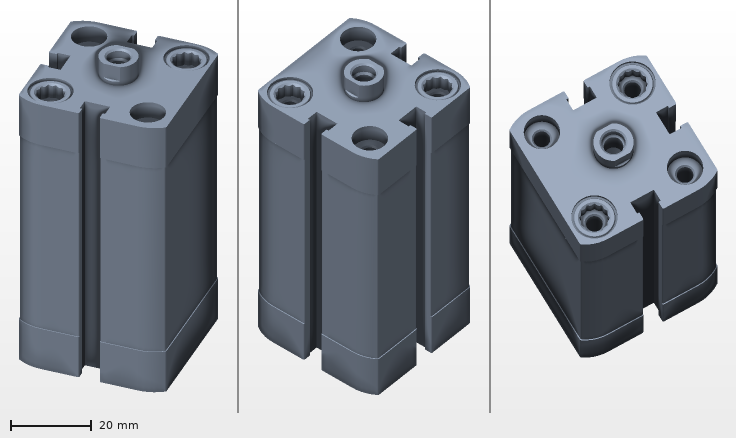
import cadquery as cq
import math

WIDTH = 39.5
TOTAL_HEIGHT = 84.5
HOUSING_HEIGHT = 79.0
CAP_HEIGHT = 12.0
BARREL_INSET = 0.25

CORNER_RADIUS = 11.5
CORNER_BLEND = 0.6

HOLE_OFFSET = 13.0
HOLE_DIAMETER = 4.1
HOLE_CHAMFER = 0.4
COUNTERBORE_DIAMETER = 9.0
COUNTERBORE_DEPTH = 4.6

SLOT_DEPTH = 5.6
SLOT_WIDTH = 6.8
MOUTH_WIDTH = 5.5
LIP_DEPTH = 2.2
MOUTH_BLEND = 0.3

GROOVE_DIAMETER = 11.5
GROOVE_DEPTH = 0.85
COLLAR_BASE_DIAMETER = 10.5
COLLAR_TOP_DIAMETER = 10.0
COLLAR_DROP = 0.4
SOCKET_MOUTH_DIAMETER = 8.2
SOCKET_BORE_DIAMETER = 6.9
SOCKET_MOUTH_DEPTH = 0.9
SOCKET_FLATS = 6.6
SOCKET_DEPTH = 4.5

ROD_DIAMETER = 10.0
ROD_FLATS = 8.95
FLAT_HEIGHT = 4.1
FLAT_RUNOUT = 0.25
ROD_MOUTH_DIAMETER = 6.9
ROD_BORE_DIAMETER = 6.0
ROD_BORE_DEPTH = 2.5
ROD_BORE_TAPER = 0.5
ROD_DRILL_DIAMETER = 4.9
ROD_DRILL_DEPTH = 10.1
DRILL_TIP_ANGLE = 118

ROD_BASE = HOUSING_HEIGHT - CAP_HEIGHT
ROD_LENGTH = TOTAL_HEIGHT - ROD_BASE


def cone(base_diameter, top_diameter, base_height, height):
    """A cone frustum on the Z axis; a base diameter of zero gives a point."""
    return cq.Workplane(
        cq.Solid.makeCone(base_diameter / 2, top_diameter / 2, height, cq.Vector(0, 0, base_height))
    )


def disc(diameter, base_height, height):
    """A cylinder on the Z axis."""
    return cq.Workplane("XY", origin=(0, 0, base_height)).circle(diameter / 2).extrude(height)


def outline_block(inset, base_height, height):
    """A square block whose front and back faces run into the sides over large arcs."""
    half = WIDTH / 2 - inset
    radius = CORNER_RADIUS - inset
    center_y = half - radius

    def on_arc(x):
        return center_y + math.sqrt(radius**2 - (x - HOLE_OFFSET) ** 2)

    side_y = on_arc(half)
    middle_x = (HOLE_OFFSET + half) / 2
    middle_y = on_arc(middle_x)
    block = (
        cq.Workplane("XY", origin=(0, 0, base_height))
        .moveTo(-HOLE_OFFSET, -half)
        .lineTo(HOLE_OFFSET, -half)
        .threePointArc((middle_x, -middle_y), (half, -side_y))
        .lineTo(half, side_y)
        .threePointArc((middle_x, middle_y), (HOLE_OFFSET, half))
        .lineTo(-HOLE_OFFSET, half)
        .threePointArc((-middle_x, middle_y), (-half, side_y))
        .lineTo(-half, -side_y)
        .threePointArc((-middle_x, -middle_y), (-HOLE_OFFSET, -half))
        .close()
        .extrude(height)
    )
    return block.edges("|Z and (<X or >X)").fillet(CORNER_BLEND)


def slot_cutter(inset, base_height, height):
    """An undercut slot in the +X face, with rounded mouth edges."""
    face = WIDTH / 2 - inset
    lip = WIDTH / 2 - LIP_DEPTH
    floor = WIDTH / 2 - SLOT_DEPTH
    mouth = MOUTH_WIDTH / 2
    blend_reach = MOUTH_BLEND * (1 - math.sqrt(0.5))
    return (
        cq.Workplane("XY", origin=(0, 0, base_height))
        .moveTo(floor, -SLOT_WIDTH / 2)
        .lineTo(lip, -SLOT_WIDTH / 2)
        .lineTo(lip, -mouth)
        .lineTo(face - MOUTH_BLEND, -mouth)
        .threePointArc((face - blend_reach, -mouth - blend_reach), (face, -mouth - MOUTH_BLEND))
        .lineTo(face, mouth + MOUTH_BLEND)
        .threePointArc((face - blend_reach, mouth + blend_reach), (face - MOUTH_BLEND, mouth))
        .lineTo(lip, mouth)
        .lineTo(lip, SLOT_WIDTH / 2)
        .lineTo(floor, SLOT_WIDTH / 2)
        .close()
        .extrude(height)
    )


def housing_section(inset, base_height, height):
    """One length of the housing, slotted on the front, back and left faces."""
    section = outline_block(inset, base_height, height)
    slot = slot_cutter(inset, base_height, height)
    for angle in (90, 180, 270):
        section = section.cut(slot.rotate((0, 0, 0), (0, 0, 1), angle))
    return section


def through_hole_cutter(floor_depth):
    """A hole along the whole housing, chamfered where it meets a floor below the top face."""
    floor = HOUSING_HEIGHT - floor_depth
    chamfer = cone(HOLE_DIAMETER, HOLE_DIAMETER + 2 * HOLE_CHAMFER, floor - HOLE_CHAMFER, HOLE_CHAMFER)
    return disc(HOLE_DIAMETER, 0, floor).union(chamfer)


def counterbore_cutter():
    """A counterbored through hole."""
    bore = disc(COUNTERBORE_DIAMETER, HOUSING_HEIGHT - COUNTERBORE_DEPTH, COUNTERBORE_DEPTH)
    return bore.union(through_hole_cutter(COUNTERBORE_DEPTH))


def socket_cutter():
    """A twelve-point socket inside a collar with a groove around it, above a through hole."""
    groove_floor = HOUSING_HEIGHT - GROOVE_DEPTH
    collar = cone(COLLAR_BASE_DIAMETER, COLLAR_TOP_DIAMETER, groove_floor, GROOVE_DEPTH - COLLAR_DROP)
    cutter = disc(GROOVE_DIAMETER, groove_floor, GROOVE_DEPTH).cut(collar)

    bore_top = HOUSING_HEIGHT - SOCKET_MOUTH_DEPTH
    mouth = cone(
        SOCKET_BORE_DIAMETER, SOCKET_MOUTH_DIAMETER, bore_top, SOCKET_MOUTH_DEPTH - COLLAR_DROP
    )
    floor = HOUSING_HEIGHT - SOCKET_DEPTH
    bore_length = bore_top - floor
    cutter = cutter.union(mouth).union(disc(SOCKET_BORE_DIAMETER, floor, bore_length))

    hexagon = (
        cq.Workplane("XY", origin=(0, 0, floor))
        .polygon(6, SOCKET_FLATS, circumscribed=True)
        .extrude(SOCKET_DEPTH - COLLAR_DROP)
    )
    for angle in (0, 30):
        cutter = cutter.union(hexagon.rotate((0, 0, 0), (0, 0, 1), angle))
    return cutter.union(through_hole_cutter(SOCKET_DEPTH))


def make_housing():
    barrel_height = HOUSING_HEIGHT - 2 * CAP_HEIGHT
    housing = (
        housing_section(0, 0, CAP_HEIGHT)
        .union(housing_section(BARREL_INSET, CAP_HEIGHT, barrel_height))
        .union(housing_section(0, HOUSING_HEIGHT - CAP_HEIGHT, CAP_HEIGHT))
    )
    counterbore = counterbore_cutter()
    socket = socket_cutter()
    for side in (-1, 1):
        x = side * HOLE_OFFSET
        housing = housing.cut(counterbore.translate((x, -x, 0)))
        housing = housing.cut(socket.translate((x, x, 0)))
    return housing.cut(disc(ROD_DIAMETER, ROD_BASE, CAP_HEIGHT))


def flat_cutter():
    """The material beyond the flat on the +Y side of the rod, with a sloping run-out below."""
    flat_y = ROD_FLATS / 2
    outer_y = ROD_DIAMETER / 2
    flat_bottom = TOTAL_HEIGHT - FLAT_HEIGHT
    return (
        cq.Workplane("YZ", origin=(-outer_y, 0, 0))
        .moveTo(flat_y, TOTAL_HEIGHT)
        .lineTo(flat_y, flat_bottom)
        .lineTo(outer_y, flat_bottom - FLAT_RUNOUT)
        .lineTo(outer_y, TOTAL_HEIGHT)
        .close()
        .extrude(ROD_DIAMETER)
    )


def make_rod():
    rod = disc(ROD_DIAMETER, ROD_BASE, ROD_LENGTH)
    flat = flat_cutter()
    rod = rod.cut(flat).cut(flat.mirror("XZ"))

    mouth_depth = (ROD_MOUTH_DIAMETER - ROD_BORE_DIAMETER) / 2
    bore_bottom = TOTAL_HEIGHT - ROD_BORE_DEPTH
    rod = rod.cut(disc(ROD_BORE_DIAMETER, bore_bottom, ROD_BORE_DEPTH))
    rod = rod.cut(cone(ROD_DRILL_DIAMETER, ROD_BORE_DIAMETER, bore_bottom - ROD_BORE_TAPER, ROD_BORE_TAPER))
    rod = rod.cut(cone(ROD_BORE_DIAMETER, ROD_MOUTH_DIAMETER, TOTAL_HEIGHT - mouth_depth, mouth_depth))

    drill_bottom = TOTAL_HEIGHT - ROD_DRILL_DEPTH
    tip_height = ROD_DRILL_DIAMETER / 2 / math.tan(math.radians(DRILL_TIP_ANGLE / 2))
    rod = rod.cut(disc(ROD_DRILL_DIAMETER, drill_bottom, ROD_DRILL_DEPTH))
    return rod.cut(cone(0, ROD_DRILL_DIAMETER, drill_bottom - tip_height, tip_height))


housing = make_housing()
rod = make_rod()

result = cq.Compound.makeCompound([housing.val(), rod.val()])